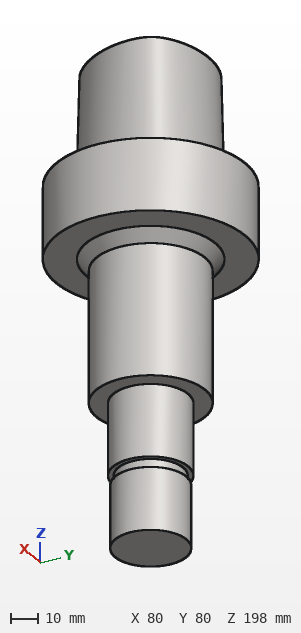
import cadquery as cq
import math

total_length = 198.0
pin_top = 26.1
groove_top = 30.0
journal_top = 60.2
shank_top = 115.0
flange_bottom = 120.0
flange_thickness = 30.0
flange_top = flange_bottom + flange_thickness

pin_diameter = 30.0
groove_diameter = 27.5
journal_diameter = 31.7
shank_diameter = 46.0
cone_diameter = 54.6
flange_diameter = 80.0

lobe_base_width = 55.0
lobe_eccentricity = 2.0
taper_ratio = 1 / 20
lobe_height = total_length - flange_top
lobe_top_width = lobe_base_width - taper_ratio * lobe_height
lobe_curve_points = 36


def tapered_section(bottom, top, bottom_diameter, top_diameter):
    """Round section about the Z axis, straight-sided between its two ends."""
    profile = [
        (0, bottom),
        (bottom_diameter / 2, bottom),
        (top_diameter / 2, top),
        (0, top),
    ]
    return cq.Workplane("XZ").polyline(profile).close().revolve(360, (0, 0), (0, 1))


def lobed_wire(width, level):
    """Closed three-lobed curve with one lobe pointing toward -Y."""
    points = []
    for index in range(lobe_curve_points):
        angle = 2 * math.pi * index / lobe_curve_points
        along_lobe = (
            width / 2 * math.cos(angle)
            + 2 * lobe_eccentricity * math.cos(2 * angle)
            - lobe_eccentricity * math.cos(4 * angle)
        )
        across_lobe = (
            width / 2 * math.sin(angle)
            - 2 * lobe_eccentricity * math.sin(2 * angle)
            - lobe_eccentricity * math.sin(4 * angle)
        )
        points.append(cq.Vector(across_lobe, -along_lobe, level))
    curve = cq.Edge.makeSpline(points, periodic=True)
    return cq.Wire.assembleEdges([curve])


def lobed_shank():
    base = lobed_wire(lobe_base_width, flange_top)
    top = lobed_wire(lobe_top_width, total_length)
    return cq.Workplane(obj=cq.Solid.makeLoft([base, top]))


round_sections = [
    (0, pin_top, pin_diameter, pin_diameter),
    (pin_top, groove_top, groove_diameter, groove_diameter),
    (groove_top, journal_top, journal_diameter, journal_diameter),
    (journal_top, shank_top, shank_diameter, shank_diameter),
    (shank_top, flange_bottom, shank_diameter, cone_diameter),
    (flange_bottom, flange_top, flange_diameter, flange_diameter),
]

result = lobed_shank()
for section in round_sections:
    result = result.union(tapered_section(*section))